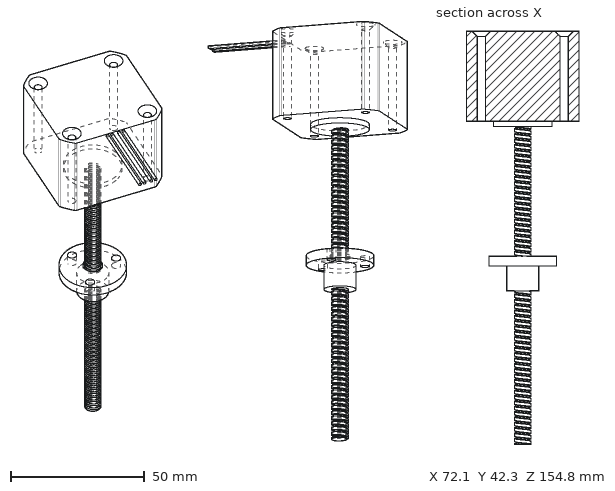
import cadquery as cq

total_height = 154.8
total_length = 72.1

body_width = 42.3
body_height = 33.7
corner_radius = 26.8
corner_blend = 1.4
boss_diameter = 22.0
boss_height = 2.0

hole_spacing = 31.0
hole_diameter = 3.0
countersink_diameter = 7.0
countersink_angle = 90.0

wire_diameter = 1.1
wire_drop = 1.0
wire_centre_y = -0.2
wire_inner_offset = 1.4
wire_outer_offset = 3.3

screw_diameter = 6.3
thread_turns = 59.5
groove_depth = 0.6
groove_mouth = 1.0
groove_floor = 0.5
groove_clearance = 0.2
groove_lead_in = 1.4
rod_overrun = 2

flange_diameter = 25.4
flange_thickness = 3.7
flange_top = 70.6
hub_diameter = 12.0
hub_length = 9.3
nut_hole_diameter = 3.4
nut_hole_radius = 9.6
nut_hole_count = 3
first_hole_angle = 90
nut_recess_diameter = 7.5
nut_recess_depth = 1.0

body_bottom = total_height - body_height
boss_bottom = body_bottom - boss_height
flange_bottom = flange_top - flange_thickness
hub_bottom = flange_bottom - hub_length
half_width = body_width / 2
screw_radius = screw_diameter / 2
thread_pitch = boss_bottom / thread_turns


def cylinder(diameter, bottom, top):
    """Upright cylinder on the screw axis."""
    return cq.Workplane("XY").workplane(offset=bottom).circle(diameter / 2).extrude(top - bottom)


def motor_body():
    """Square body with round-turned corners, a pilot boss and countersunk holes."""
    block = (
        cq.Workplane("XY").workplane(offset=body_bottom)
        .rect(body_width, body_width).extrude(body_height)
    )
    body = block.intersect(cylinder(2 * corner_radius, body_bottom, total_height))
    body = body.edges("|Z").fillet(corner_blend)
    body = body.union(cylinder(boss_diameter, boss_bottom, body_bottom))
    return (
        body.faces(">Z").workplane(origin=(0, 0, total_height))
        .rect(hole_spacing, hole_spacing, forConstruction=True).vertices()
        .cskHole(hole_diameter, countersink_diameter, countersink_angle)
    )


def lead_wires():
    """Four parallel wires leaving the +X side, just under the top of the body."""
    offsets = [-wire_outer_offset, -wire_inner_offset, wire_inner_offset, wire_outer_offset]
    return (
        cq.Workplane("YZ").workplane(offset=half_width)
        .pushPoints([(wire_centre_y + y, total_height - wire_drop) for y in offsets])
        .circle(wire_diameter / 2).extrude(total_length - body_width)
    )


def lead_screw():
    """Rod with a helical groove, cut on an overlong blank and trimmed to length."""
    overrun = rod_overrun * thread_pitch
    blank = cylinder(screw_diameter, -overrun, boss_bottom + overrun)

    start = -groove_lead_in * thread_pitch
    helix_height = boss_bottom + overrun
    helix = cq.Wire.makeHelix(
        thread_pitch, helix_height, screw_radius, cq.Vector(0, 0, start), lefthand=True
    )

    flank_slope = (groove_mouth - groove_floor) / 2 / groove_depth
    outer_radius = screw_radius + groove_clearance
    outer_half = groove_mouth / 2 + flank_slope * groove_clearance
    floor_radius = screw_radius - groove_depth
    floor_half = groove_floor / 2
    groove = (
        cq.Workplane("XZ")
        .polyline([
            (outer_radius, start - outer_half),
            (outer_radius, start + outer_half),
            (floor_radius, start + floor_half),
            (floor_radius, start - floor_half),
        ])
        .close()
        .sweep(cq.Workplane(obj=helix), isFrenet=True)
    )
    return blank.cut(groove).intersect(cylinder(2 * screw_diameter, 0, boss_bottom))


def flanged_nut():
    """Round flange with a hub below it, a ring of screw holes and a shallow recess round the screw."""
    nut = cylinder(flange_diameter, flange_bottom, flange_top)
    nut = nut.union(cylinder(hub_diameter, hub_bottom, flange_bottom))
    holes = (
        cq.Workplane("XY").workplane(offset=flange_bottom)
        .polarArray(nut_hole_radius, first_hole_angle, 360, nut_hole_count)
        .circle(nut_hole_diameter / 2).extrude(flange_thickness)
    )
    recess = cylinder(nut_recess_diameter, flange_top - nut_recess_depth, flange_top)
    return nut.cut(holes).cut(recess)


result = lead_screw().union(flanged_nut()).union(motor_body()).union(lead_wires())